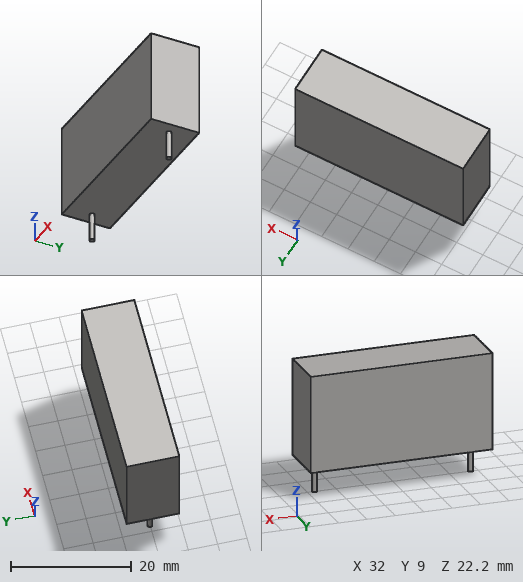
import cadquery as cq

housing_length = 32.0
housing_width = 9.0
housing_height = 17.1

lead_diameter = 0.85
lead_length = 5.12
lead_spacing = 27.5


def make_housing():
    """Block centred on X and Y, with its underside at Z = 0."""
    return cq.Workplane("XY").box(
        housing_length, housing_width, housing_height, centered=(True, True, False)
    )


def make_lead(x):
    """Straight round lead hanging from the underside of the housing at x."""
    return cq.Workplane("XY").center(x, 0).circle(lead_diameter / 2).extrude(-lead_length)


housing = make_housing()
leads = [make_lead(side * lead_spacing / 2) for side in (-1, 1)]

result = cq.Compound.makeCompound([housing.val(), *[lead.val() for lead in leads]])